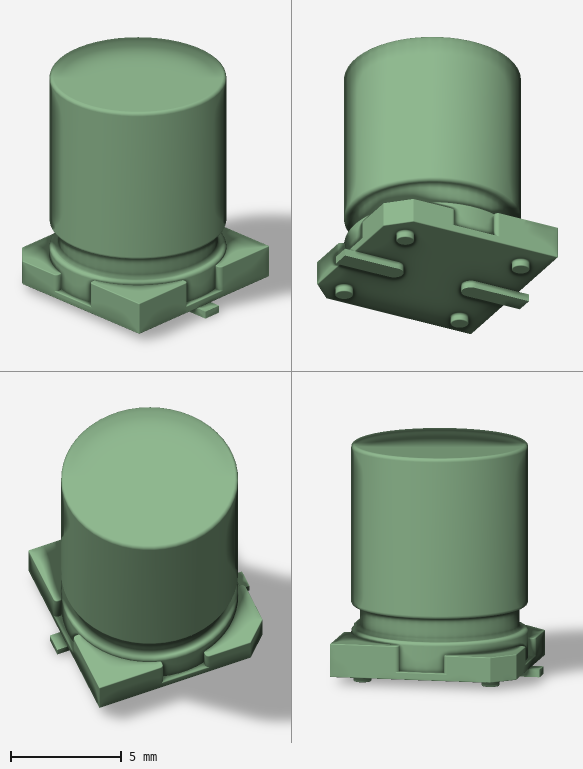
import cadquery as cq
import math

part_height = 10.5

can_radius = 4.0
neck_radius = 3.6
can_edge_fillet = 0.16
groove_bottom = 2.05
groove_top = 3.115

base_width = 8.4
base_bottom = 0.35
base_edge_fillet = 0.04
corner_chamfer = 1.0
ledge_top = 0.7
low_corner_top = 1.52
high_corner_top = 1.88
notch_half_width = 1.04
notch_outer_fillet = 0.17
notch_inner_fillet = 0.08

foot_radius = 0.4
foot_offset = 2.95
foot_edge_fillet = 0.04

terminal_span = 9.4
terminal_width = 0.88
terminal_gap = 3.06


def make_can():
    """Solid can with a rolled groove above the base and rounded edges throughout."""
    fillet = can_edge_fillet
    profile = [
        (0, ledge_top),
        (can_radius, ledge_top),
        (can_radius, groove_bottom),
        (neck_radius, groove_bottom),
        (neck_radius, groove_top),
        (can_radius, groove_top),
        (can_radius, part_height),
        (0, part_height),
    ]
    can = cq.Workplane("XZ").polyline(profile).close().revolve(360, (0, 0), (0, 1))
    rounded_edges = cq.selectors.BoxSelector(
        (-2 * can_radius, -2 * can_radius, groove_bottom - fillet),
        (2 * can_radius, 2 * can_radius, part_height + fillet),
        boundingbox=False,
    )
    return can.edges("%CIRCLE").edges(rounded_edges).fillet(fillet)


def block(x_size, y_size, bottom, top):
    """Box centred on the Z axis between two heights."""
    return cq.Workplane("XY").workplane(offset=bottom).rect(x_size, y_size).extrude(top - bottom)


def base_blank(bottom, top):
    """Square block with two chamfered -X corners and softened vertical edges."""
    blank = block(base_width, base_width, bottom, top)
    blank = blank.edges("|Z and <X").chamfer(corner_chamfer)
    return blank.edges("|Z").fillet(base_edge_fillet)


def round_notch_walls(posts):
    """Round both vertical edges of every notch wall, at the side face and at the can seat."""
    side = base_width / 2
    seat_edge = math.sqrt(can_radius**2 - notch_half_width**2)
    for x_sign in (-1, 1):
        for y_sign in (-1, 1):
            for reach, fillet in ((side, notch_outer_fillet), (seat_edge, notch_inner_fillet)):
                wall_edges = (
                    (x_sign * notch_half_width, y_sign * reach),
                    (x_sign * reach, y_sign * notch_half_width),
                )
                for x, y in wall_edges:
                    nearest_edge = cq.selectors.NearestToPointSelector((x, y, ledge_top))
                    posts = posts.edges("|Z").edges(nearest_edge).fillet(fillet)
    return posts


def make_corner_posts():
    """Four corner posts around the can, the two on the -X side being lower."""
    posts = base_blank(base_bottom + base_edge_fillet, high_corner_top)
    low_side = block(base_width, base_width, low_corner_top, high_corner_top)
    posts = posts.cut(low_side.translate((-base_width / 2, 0, 0)))

    notch_width = 2 * notch_half_width
    posts = posts.cut(block(notch_width, base_width, base_bottom, high_corner_top))
    posts = posts.cut(block(base_width, notch_width, base_bottom, high_corner_top))

    seat = cq.Workplane("XY").circle(can_radius).extrude(part_height)
    posts = round_notch_walls(posts.cut(seat))
    return posts.faces("+Z").edges().fillet(base_edge_fillet)


def make_base():
    """Thin ledge plate carrying the corner posts."""
    plate = base_blank(base_bottom, ledge_top)
    plate = plate.faces("<Z or >Z").edges().fillet(base_edge_fillet)
    return plate.union(make_corner_posts())


def add_feet(base):
    """Add four round standoff feet with softened rims and filleted roots."""
    feet = (
        cq.Workplane("XY")
        .rect(2 * foot_offset, 2 * foot_offset, forConstruction=True)
        .vertices()
        .circle(foot_radius)
        .extrude(base_bottom)
    )
    feet = feet.faces("<Z").edges().fillet(foot_edge_fillet)
    roots = cq.selectors.BoxSelector(
        (-base_width, -base_width, base_bottom - foot_edge_fillet / 2),
        (base_width, base_width, base_bottom + foot_edge_fillet / 2),
    )
    return base.union(feet).edges("%CIRCLE").edges(roots).fillet(foot_edge_fillet)


def make_terminal(side):
    """Flat terminal on one X side, with a half-round inner end under the base."""
    half_width = terminal_width / 2
    outer_end = side * terminal_span / 2
    inner_end = side * terminal_gap / 2
    round_start = inner_end + side * half_width
    return (
        cq.Workplane("XY")
        .moveTo(outer_end, -half_width)
        .lineTo(round_start, -half_width)
        .threePointArc((inner_end, 0), (round_start, half_width))
        .lineTo(outer_end, half_width)
        .close()
        .extrude(base_bottom)
    )


result = add_feet(make_base()).union(make_can())
for terminal_side in (-1, 1):
    result = result.union(make_terminal(terminal_side))